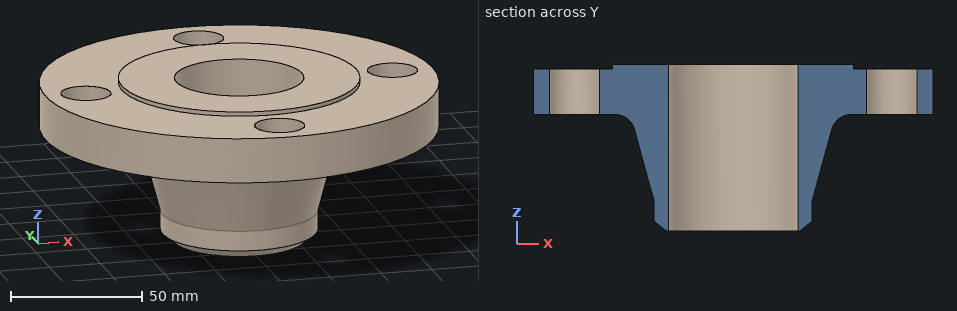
import cadquery as cq
import math

flange_diameter = 152.4
flange_thickness = 17.5
raised_face_diameter = 92.0
raised_face_height = 1.7

total_height = 63.5
hub_base_diameter = 78.5
hub_fillet_radius = 7.8
neck_diameter = 60.4
neck_height = 11.5
bevel_height = 3.7
bevel_width = 4.5
bore_diameter = 49.2

bolt_count = 4
bolt_circle_diameter = 120.7
bolt_hole_diameter = 19.0

flange_top = total_height - raised_face_height
flange_bottom = flange_top - flange_thickness

hub_base_radius = hub_base_diameter / 2
neck_radius = neck_diameter / 2
cone_height = flange_bottom - neck_height
cone_angle = math.atan2(hub_base_radius - neck_radius, cone_height)
tangent_length = hub_fillet_radius * math.tan((math.pi / 2 - cone_angle) / 2)
fillet_outer_radius = hub_base_radius + tangent_length
fillet_cone_radius = hub_base_radius - tangent_length * math.sin(cone_angle)
fillet_cone_z = flange_bottom - tangent_length * math.cos(cone_angle)

fillet_center_z = flange_bottom - hub_fillet_radius
half_sweep = (math.pi / 2 - cone_angle) / 2
fillet_mid_radius = fillet_outer_radius - hub_fillet_radius * math.sin(half_sweep)
fillet_mid_z = fillet_center_z + hub_fillet_radius * math.cos(half_sweep)


def revolved_body():
    """Half section of the solid flange, turned about the Z axis."""
    return (
        cq.Workplane("XZ")
        .moveTo(0, 0)
        .lineTo(neck_radius - bevel_width, 0)
        .lineTo(neck_radius, bevel_height)
        .lineTo(neck_radius, neck_height)
        .lineTo(fillet_cone_radius, fillet_cone_z)
        .threePointArc((fillet_mid_radius, fillet_mid_z), (fillet_outer_radius, flange_bottom))
        .lineTo(flange_diameter / 2, flange_bottom)
        .lineTo(flange_diameter / 2, flange_top)
        .lineTo(raised_face_diameter / 2, flange_top)
        .lineTo(raised_face_diameter / 2, total_height)
        .lineTo(0, total_height)
        .close()
        .revolve(360, (0, 0, 0), (0, 1, 0))
    )


def bore():
    return cq.Workplane("XY").circle(bore_diameter / 2).extrude(total_height)


def bolt_holes():
    return (
        cq.Workplane("XY")
        .polarArray(bolt_circle_diameter / 2, 0, 360, bolt_count)
        .circle(bolt_hole_diameter / 2)
        .extrude(total_height)
    )


result = revolved_body().cut(bore()).cut(bolt_holes())